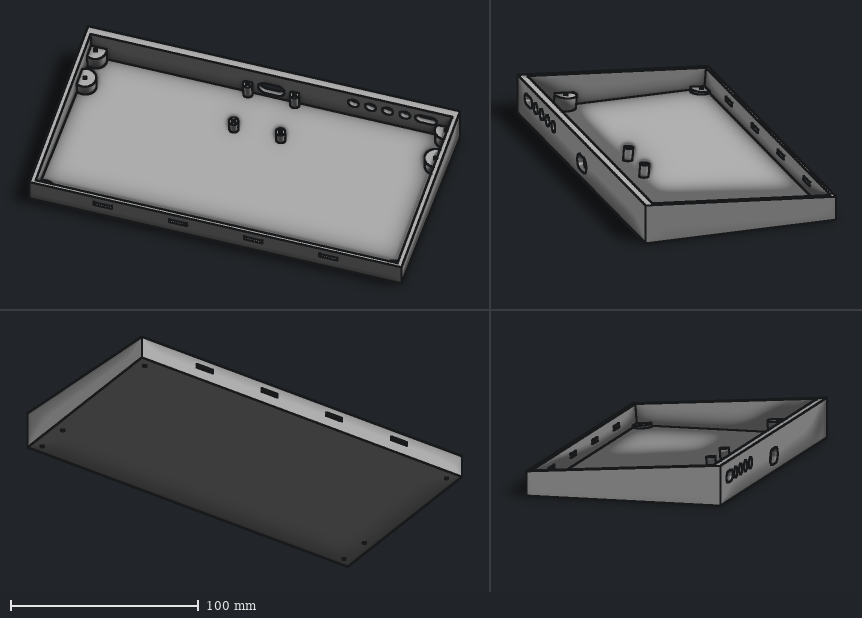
import cadquery as cq
import math

LENGTH = 207.0
DEPTH = 107.5
BACK_HEIGHT = 21.7
FRONT_HEIGHT = 13.2
FRONT_Y = -DEPTH / 2
BACK_Y = DEPTH / 2
SLOPE = math.atan2(BACK_HEIGHT - FRONT_HEIGHT, DEPTH)

FLOOR = 2.0
SIDE_WALL = 3.0
FRONT_RIM = 2.0
BACK_RIM = 4.8

MOUNT_DROP = 10.4
SCREW_HOLE_DIAMETER = 1.78

POST_DIAMETER = 12.0
POST_X = 97.5
POST_YS = (-48.9, 27.7, 46.8)

STANDOFF_DIAMETER = 5.0
STANDOFF_X = 13.0
STANDOFF_BACK_Y = 47.5
STANDOFF_PITCH_Y = 25.7
STANDOFF_YS = (STANDOFF_BACK_Y - STANDOFF_PITCH_Y, STANDOFF_BACK_Y)
STANDOFF_HOLE_DEPTH = 4.1

JACK_DIAMETER = 6.0
JACK_COUNT = 4
JACK_FIRST_X = 45.3
JACK_PITCH = 9.5
JACK_Z = 13.0
SWITCH_X = 85.7
SWITCH_LENGTH = 12.0
PORT_X = -0.5
PORT_Z = 8.5
PORT_LENGTH = 14.7
PORT_HEIGHT = 8.5

VENT_COUNT = 4
VENT_PITCH = 41.8
VENT_LENGTH = 10.1
VENT_HEIGHT = 2.0
VENT_Z = 7.9

WALL_CUT = 8.3
THROUGH = 2 * BACK_HEIGHT


def rim_plane(x, y):
    """Plane lying in the sloped rim, centred above (x, y), facing out of the case."""
    rim_height = FRONT_HEIGHT + (y - FRONT_Y) * math.tan(SLOPE)
    normal = (0, -math.sin(SLOPE), math.cos(SLOPE))
    return cq.Plane(origin=(x, y, rim_height), xDir=(1, 0, 0), normal=normal)


def make_wedge():
    profile = [(FRONT_Y, 0), (BACK_Y, 0), (BACK_Y, BACK_HEIGHT), (FRONT_Y, FRONT_HEIGHT)]
    return cq.Workplane("YZ").polyline(profile).close().extrude(LENGTH / 2, both=True)


def make_cavity():
    opening_front = FRONT_Y + FRONT_RIM
    opening_back = BACK_Y - BACK_RIM
    opening_depth = (opening_back - opening_front) / math.cos(SLOPE)
    prism = (
        cq.Workplane(rim_plane(0, (opening_front + opening_back) / 2))
        .rect(LENGTH - 2 * SIDE_WALL, opening_depth)
        .extrude(THROUGH, both=True)
    )
    above_floor = cq.Workplane("XY", origin=(0, 0, FLOOR)).rect(LENGTH, DEPTH).extrude(BACK_HEIGHT)
    return prism.intersect(above_floor)


def mount_cylinder(x, y, diameter, length=THROUGH):
    """Cylinder square to the rim, running down from mount-top level below rim point (x, y)."""
    return (
        cq.Workplane(rim_plane(x, y))
        .workplane(offset=-MOUNT_DROP)
        .circle(diameter / 2)
        .extrude(-length)
    )


def add_posts(case, cavity):
    """Lid posts merging into the walls, with screw holes through the case bottom."""
    for x in (-POST_X, POST_X):
        for y in POST_YS:
            post = mount_cylinder(x, y, POST_DIAMETER).intersect(cavity)
            hole = mount_cylinder(x, y, SCREW_HOLE_DIAMETER)
            case = case.union(post).cut(hole)
    return case


def add_standoffs(case, cavity):
    """Board standoffs with blind screw holes."""
    for x in (-STANDOFF_X, STANDOFF_X):
        for y in STANDOFF_YS:
            standoff = mount_cylinder(x, y, STANDOFF_DIAMETER).intersect(cavity)
            hole = mount_cylinder(x, y, SCREW_HOLE_DIAMETER, STANDOFF_HOLE_DEPTH)
            case = case.union(standoff).cut(hole)
    return case


def cut_back_openings(case):
    """Round jack holes and two round-ended openings through the back wall."""
    back_face = cq.Workplane("XZ", origin=(0, BACK_Y, 0))
    for i in range(JACK_COUNT):
        jack = back_face.center(JACK_FIRST_X + i * JACK_PITCH, JACK_Z).circle(JACK_DIAMETER / 2)
        case = case.cut(jack.extrude(WALL_CUT))
    switch = back_face.center(SWITCH_X, JACK_Z).slot2D(SWITCH_LENGTH, JACK_DIAMETER).extrude(WALL_CUT)
    port = back_face.center(PORT_X, PORT_Z).slot2D(PORT_LENGTH, PORT_HEIGHT).extrude(WALL_CUT)
    return case.cut(switch).cut(port)


def cut_vents(case):
    """Row of slots through the front wall, centred on the length."""
    front_face = cq.Workplane("XZ", origin=(0, FRONT_Y, 0))
    first_x = -(VENT_COUNT - 1) / 2 * VENT_PITCH
    for i in range(VENT_COUNT):
        vent = front_face.center(first_x + i * VENT_PITCH, VENT_Z).rect(VENT_LENGTH, VENT_HEIGHT)
        case = case.cut(vent.extrude(-WALL_CUT))
    return case


cavity = make_cavity()
result = make_wedge().cut(cavity)
result = add_posts(result, cavity)
result = add_standoffs(result, cavity)
result = cut_back_openings(result)
result = cut_vents(result)